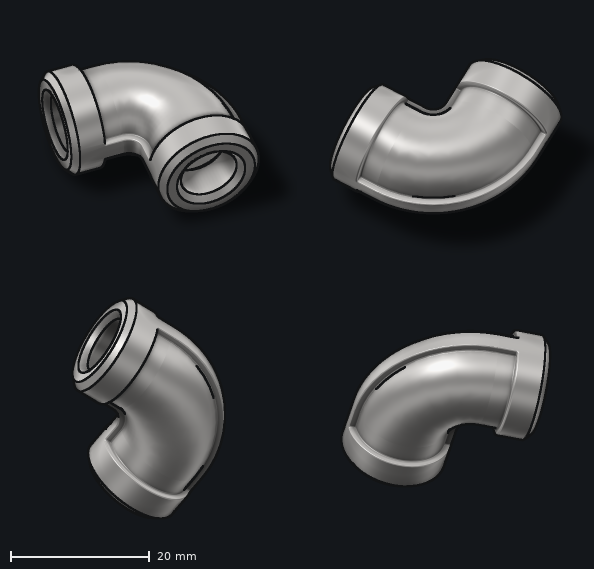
import cadquery as cq

LENGTH_X = 25.3
LENGTH_Y = 25.25

COLLAR_DIAMETER = 15.5
TUBE_DIAMETER = 13.5
BEND_RADIUS = 9.75
COLLAR_LENGTH = 4.98
RIB_WIDTH = 3.0
EDGE_RADIUS = 0.25

BORE_DIAMETER = 8.58
BORE_LENGTH = 6.0
CAVITY_DIAMETER = 10.5
CONE_ANGLE = 45

COLLAR_RADIUS = COLLAR_DIAMETER / 2
LEG_X = LENGTH_X - COLLAR_RADIUS
LEG_Y = LENGTH_Y - COLLAR_RADIUS
END_CHAMFER = (COLLAR_DIAMETER - TUBE_DIAMETER) / 2
CONE_DEPTH = (CAVITY_DIAMETER - BORE_DIAMETER) / 2
CAVITY_START = BORE_LENGTH + CONE_DEPTH
ZONE_SIDE = COLLAR_DIAMETER + 2 * EDGE_RADIUS

END_X = cq.Plane(origin=(LEG_X, 0, 0), xDir=(0, 1, 0), normal=(1, 0, 0))
END_Y = cq.Plane(origin=(0, -LEG_Y, 0), xDir=(1, 0, 0), normal=(0, -1, 0))


def elbow(diameter, setback=0):
    """Round bar along the Y leg, through the quarter bend and out along the X leg.

    Both of its ends stop short of the end faces by the setback.
    """
    path = (
        cq.Workplane("XY")
        .moveTo(0, setback - LEG_Y)
        .lineTo(0, -BEND_RADIUS)
        .radiusArc((BEND_RADIUS, 0), BEND_RADIUS)
        .lineTo(LEG_X - setback, 0)
    )
    return cq.Workplane(END_Y).workplane(offset=-setback).circle(diameter / 2).sweep(path)


def outer_body():
    """Tube with a collar on each end and a rib around the bend, both at the collar diameter."""
    raised_zone = cq.Workplane("XY").box(2 * LENGTH_X, 2 * LENGTH_Y, RIB_WIDTH)
    for end in (END_X, END_Y):
        collar_zone = cq.Workplane(end).rect(ZONE_SIDE, ZONE_SIDE).extrude(-COLLAR_LENGTH)
        raised_zone = raised_zone.union(collar_zone)
    raised = elbow(COLLAR_DIAMETER).intersect(raised_zone)
    return raised.union(elbow(TUBE_DIAMETER))


def round_steps(body):
    """Round the top edges and the roots of the rib sides and the collar faces."""
    rib_sides = body.faces("|Z")
    collar_steps = body.faces("|X or |Y").faces("not(>X or <Y)")
    return rib_sides.add(collar_steps).edges().fillet(EDGE_RADIUS)


def end_bore(end):
    """Bore through one leg: a countersink, a round hole and a flare into the cavity."""
    bore_radius = BORE_DIAMETER / 2
    cavity_radius = CAVITY_DIAMETER / 2
    hole = cq.Workplane(end).circle(bore_radius).extrude(-CAVITY_START)
    countersink = cq.Workplane(end).circle(cavity_radius).extrude(-CONE_DEPTH, taper=CONE_ANGLE)
    flare_base = cq.Workplane(end).workplane(offset=-CAVITY_START)
    flare = flare_base.circle(cavity_radius).extrude(CONE_DEPTH, taper=CONE_ANGLE)
    return hole.union(countersink).union(flare)


body = outer_body()
body = body.faces(">X or <Y").edges().chamfer(END_CHAMFER)
body = round_steps(body)
result = body.cut(elbow(CAVITY_DIAMETER, CAVITY_START)).cut(end_bore(END_X)).cut(end_bore(END_Y))